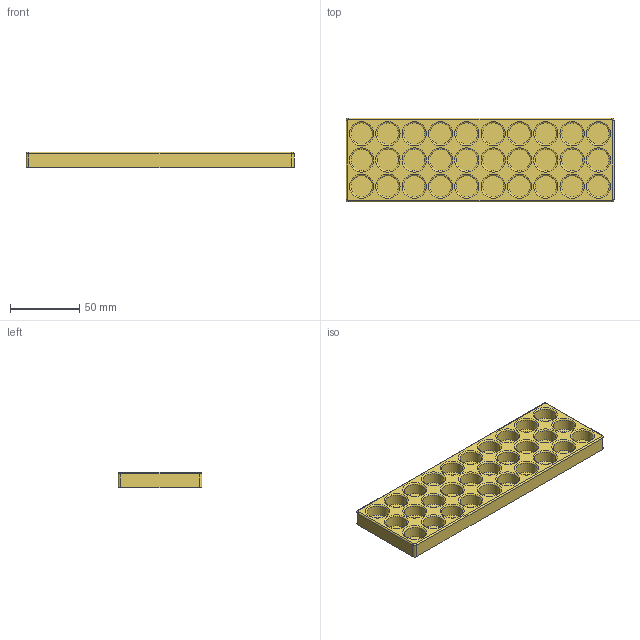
import cadquery as cq

columns = 10
rows = 3
pitch = 19.0
edge_margin = 11.25

height = 11.0
length = (columns - 1) * pitch + 2 * edge_margin
width = (rows - 1) * pitch + 2 * edge_margin
corner_radius = 2.0
top_edge_radius = 1.0

pocket_diameter = 15.5
pocket_depth = 9.0
mouth_radius = 1.0


def make_block():
    """Block resting on Z = 0, with rounded upright corners and a rounded top rim."""
    block = cq.Workplane("XY").box(length, width, height, centered=(True, True, False))
    block = block.edges("|Z").fillet(corner_radius)
    return block.faces(">Z").edges().fillet(top_edge_radius)


def make_pocket():
    """Round pocket with a rounded mouth, its top face centred on the origin."""
    radius = pocket_diameter / 2
    half_profile = (
        cq.Workplane("XZ")
        .lineTo(radius + mouth_radius, 0)
        .radiusArc((radius, -mouth_radius), -mouth_radius)
        .lineTo(radius, -pocket_depth)
        .lineTo(0, -pocket_depth)
        .close()
    )
    return half_profile.revolve(360, (0, 0), (0, 1)).val()


def make_pocket_grid():
    """All pockets, open at the top face of the block."""
    pocket = make_pocket()
    grid = cq.Workplane("XY").workplane(offset=height).rarray(pitch, pitch, columns, rows)
    return grid.eachpoint(lambda place: pocket.moved(place))


result = make_block().cut(make_pocket_grid())